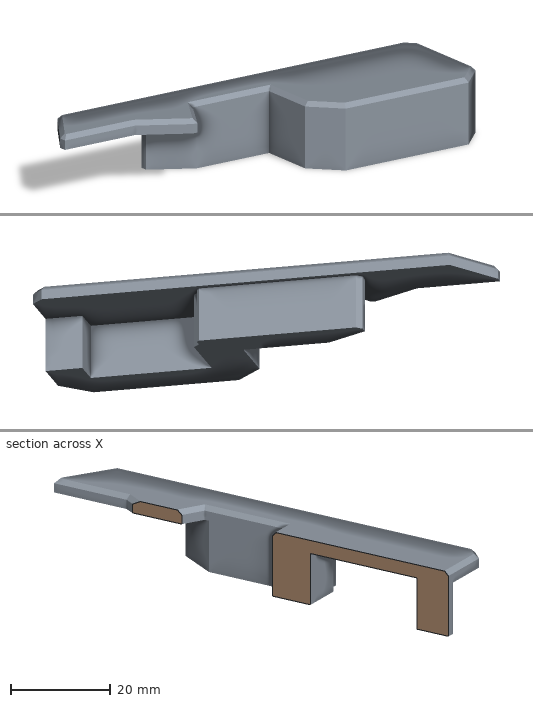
import cadquery as cq
import math

length = 94.8
width = 28.0
height = 14.0

plate_thickness = 2.9
plate_bottom = height - plate_thickness
edge_chamfer = 0.95
small_corner = 2.5
large_corner = 5.9
head_front = 52.7
neck_width = 9.5
hook_reach = 18.7
hook_top = 28.5
hook_flat = 1.0
hook_angle = math.radians(30)
tail_width = 12.8
tail_flat = 1.7
tail_slope_height = 7.1

side_setback = 1.5
body_front = 26.0
front_corner = 1.1
front_flat = 2.8
recess_corner_y = 59.8
outer_step_chamfer = 0.7
inner_step_x = 3.8
inner_step_chamfer = 1.4
recess_wall_x = 19.0
rear_block_x = 12.3
rear_block_depth = 7.7


def plate():
    """Flat hooked plate with a chamfer around its top face."""
    hook_rise = (hook_reach - neck_width) * math.tan(hook_angle)
    hook_bottom = hook_top - hook_flat
    hook_drop = (hook_reach - tail_width) / math.tan(hook_angle)
    outline = [
        (0, tail_slope_height),
        (0, length - small_corner),
        (small_corner, length),
        (width - large_corner, length),
        (width, length - large_corner),
        (width, head_front + large_corner),
        (width - large_corner, head_front),
        (neck_width, head_front),
        (neck_width, hook_top + hook_rise),
        (hook_reach, hook_top),
        (hook_reach, hook_bottom),
        (tail_width, hook_bottom - hook_drop),
        (tail_width, 0),
        (tail_width - tail_flat, 0),
    ]
    blank = cq.Workplane("XY").workplane(offset=plate_bottom).polyline(outline).close()
    return blank.extrude(plate_thickness).faces(">Z").chamfer(edge_chamfer)


def body():
    """Block under the head and neck, with a deep recess in its -X side."""
    front_right = side_setback + front_flat
    front_slope = (neck_width - front_right) / math.tan(hook_angle)
    outer_step_y = recess_corner_y + outer_step_chamfer
    recess_front = outer_step_y + inner_step_chamfer
    recess_rear = length - rear_block_depth
    outline = [
        (rear_block_x, length),
        (width - large_corner, length),
        (width, length - large_corner),
        (width, head_front + large_corner),
        (width - large_corner, head_front),
        (neck_width, head_front),
        (neck_width, body_front + front_slope),
        (front_right, body_front),
        (side_setback + front_corner, body_front),
        (side_setback, body_front + front_corner),
        (side_setback, recess_corner_y),
        (side_setback + outer_step_chamfer, outer_step_y),
        (inner_step_x, outer_step_y),
        (inner_step_x + inner_step_chamfer, recess_front),
        (recess_wall_x, recess_front),
        (recess_wall_x, recess_rear),
        (rear_block_x, recess_rear),
    ]
    return cq.Workplane("XY").polyline(outline).close().extrude(plate_bottom)


result = plate().union(body())